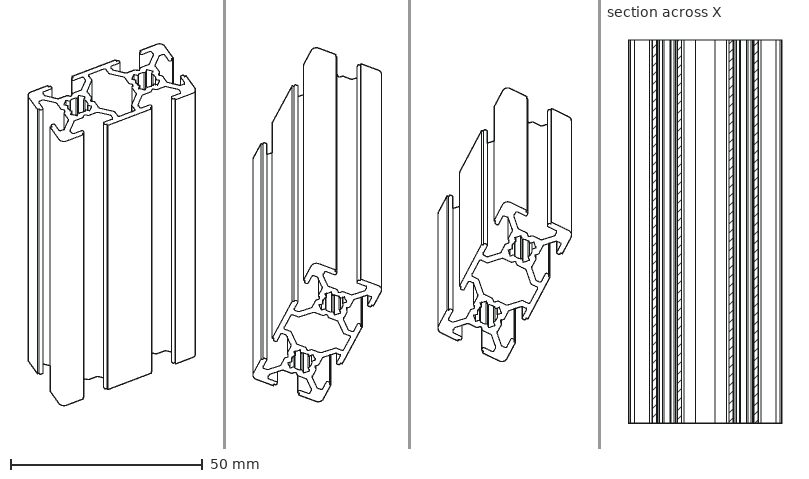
import cadquery as cq

cell = 20.0
length = 100.0
corner_radius = 1.5
face = cell / 2

lip_thickness = 1.5
lip_round = 0.3
opening_half = 3.0
recess_half = 3.6
recess_depth = 0.5
cavity_half = 6.0
cavity_round = 0.4

core_half = 4.5
web_offset = 1.1
groove_depth = 0.8
groove_round = 0.4

bore_radius = 2.7
rib_tip_x = 1.1
rib_tip_y = 2.3
rib_run = 0.3
notch_run = 0.8

chamber_wall = lip_thickness


def mirrored(right_half):
    """Complete a right-hand outline with its mirror image across the Y axis."""
    left_half = [(-x, y) for x, y in reversed(right_half) if x > 0]
    return right_half + left_half


def prism(points):
    return cq.Workplane("XY").polyline(points).close().extrude(length)


def round_edges(body, corners, radius):
    """Round the upright edges at the given corners and at their mirror images."""
    for x, y in mirrored(corners):
        edge = cq.selectors.NearestToPointSelector((x, y, length / 2))
        body = body.edges(edge).fillet(radius)
    return body


def place(body, angle, centre_y):
    return body.rotate((0, 0, 0), (0, 0, 1), angle).translate((0, centre_y, 0))


def make_slot():
    lip_bottom = face - lip_thickness
    recess_floor = face - recess_depth
    groove = [(0, core_half - groove_depth), (groove_depth, core_half)]
    cavity = [
        (core_half - web_offset, core_half),
        (cavity_half, cavity_half + web_offset),
        (cavity_half, lip_bottom),
    ]
    lip = [(opening_half, lip_bottom), (opening_half, recess_floor)]
    mouth = [(recess_half, recess_floor), (recess_half, face)]
    slot = prism(mirrored(groove + cavity + lip + mouth))
    slot = round_edges(slot, groove, groove_round)
    slot = round_edges(slot, cavity, cavity_round)
    return round_edges(slot, lip, lip_round)


def make_bore():
    arc_end_x = rib_tip_x - rib_run
    arc_end_y = (bore_radius**2 - arc_end_x**2) ** 0.5
    notch_x = rib_tip_x + notch_run
    notch_y = rib_tip_y + notch_run
    arc_middle = (0, bore_radius)
    quarter = [
        (arc_end_x, arc_end_y),
        (rib_tip_x, rib_tip_y),
        (notch_x, notch_y),
        (notch_y, notch_x),
        (rib_tip_y, rib_tip_x),
        (arc_end_y, arc_end_x),
    ]
    outline = cq.Workplane("XY").moveTo(-arc_end_x, arc_end_y)
    for _ in range(4):
        outline = outline.threePointArc(arc_middle, quarter[0])
        for x, y in quarter[1:]:
            outline = outline.lineTo(x, y)
        arc_middle = (arc_middle[1], -arc_middle[0])
        quarter = [(y, -x) for x, y in quarter]
    return outline.close().extrude(length)


def make_chamber():
    wall_x = face - chamber_wall
    wall_y = face - cavity_half - chamber_wall
    core_y = face - core_half
    floor_half = core_half - web_offset
    groove = [(0, core_y + groove_depth), (groove_depth, core_y)]
    corners = [
        (floor_half, core_y),
        (floor_half + core_y - wall_y, wall_y),
        (wall_x, wall_y),
    ]
    upper = groove + corners
    lower = [(x, -y) for x, y in reversed(upper)]
    chamber = prism(mirrored(upper + lower))
    for side in (1, -1):
        chamber = round_edges(chamber, [(x, side * y) for x, y in groove], groove_round)
        chamber = round_edges(chamber, [(x, side * y) for x, y in corners], cavity_round)
    return chamber


result = cq.Workplane("XY").rect(cell, 2 * cell).extrude(length)
result = result.edges("|Z").fillet(corner_radius)

slot = make_slot()
bore = make_bore()
for centre_y, end_angle in ((face, 0), (-face, 180)):
    for angle in (end_angle, 90, -90):
        result = result.cut(place(slot, angle, centre_y))
    result = result.cut(place(bore, 0, centre_y))

result = result.cut(make_chamber())